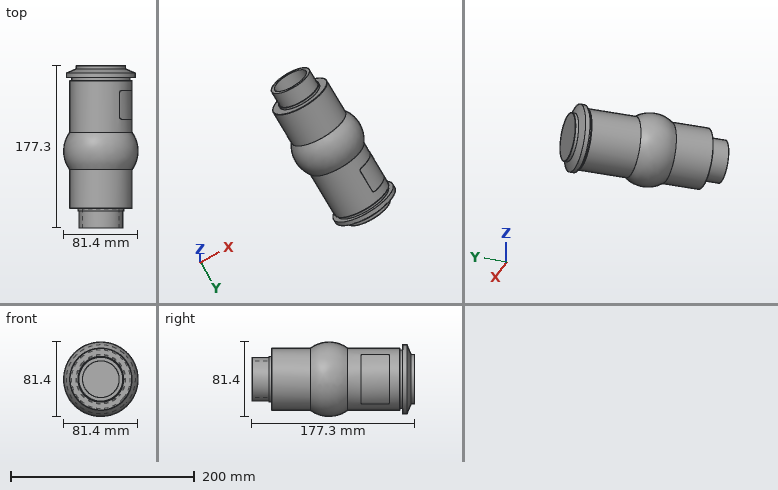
import cadquery as cq


PIPE_BORE_DIAMETER = 40.0
PIPE_DIAMETER = 47.8
COLLAR_DIAMETER = 50.0
BOSS_DIAMETER = 54.0
NECK_DIAMETER = 64.0
BODY_DIAMETER = 68.0
FLANGE_DIAMETER = 75.3
BALL_DIAMETER = 81.38

TOTAL_LENGTH = 177.3
PIPE_LENGTH = 18.7
COLLAR_LENGTH = 2.4
REAR_BODY_LENGTH = 42.5
BALL_LENGTH = 40.7
FRONT_BODY_LENGTH = 56.7
NECK_LENGTH = 3.0
FLANGE_RIM_LENGTH = 5.0
BOSS_LENGTH = 3.8
PIPE_BORE_DEPTH = 21.0

BODY_CHAMFER = 0.5
BOSS_CHAMFER = 0.5

PANEL_LENGTH = 31.3
PANEL_WIDTH = 54.4
PANEL_CORNER_RADIUS = 2.0
PANEL_HEIGHT = 0.1
PANEL_OVERLAP = 1.0
PANEL_CENTRE_FROM_BALL = 29.9

ball_start = -BALL_LENGTH / 2
ball_end = BALL_LENGTH / 2
rear_body_start = ball_start - REAR_BODY_LENGTH
collar_start = rear_body_start - COLLAR_LENGTH
pipe_start = collar_start - PIPE_LENGTH
boss_end = pipe_start + TOTAL_LENGTH
boss_start = boss_end - BOSS_LENGTH
front_body_end = ball_end + FRONT_BODY_LENGTH
neck_end = front_body_end + NECK_LENGTH
rim_end = neck_end + FLANGE_RIM_LENGTH
panel_centre = ball_end + PANEL_CENTRE_FROM_BALL


def make_turned_body():
    """Solid of revolution: pipe, collar, body, ball, neck, flange and boss."""
    pipe_radius = PIPE_DIAMETER / 2
    collar_radius = COLLAR_DIAMETER / 2
    body_radius = BODY_DIAMETER / 2
    chamfered_radius = body_radius - BODY_CHAMFER
    neck_radius = NECK_DIAMETER / 2
    flange_radius = FLANGE_DIAMETER / 2
    boss_radius = BOSS_DIAMETER / 2

    half_profile = (
        cq.Workplane("XY")
        .moveTo(0, pipe_start)
        .lineTo(pipe_radius, pipe_start)
        .lineTo(pipe_radius, collar_start)
        .lineTo(collar_radius, collar_start)
        .lineTo(collar_radius, rear_body_start)
        .lineTo(chamfered_radius, rear_body_start)
        .lineTo(body_radius, rear_body_start + BODY_CHAMFER)
        .lineTo(body_radius, ball_start)
        .threePointArc((BALL_DIAMETER / 2, 0), (body_radius, ball_end))
        .lineTo(body_radius, front_body_end - BODY_CHAMFER)
        .lineTo(chamfered_radius, front_body_end)
        .lineTo(neck_radius, front_body_end)
        .lineTo(neck_radius, neck_end)
        .lineTo(flange_radius, neck_end)
        .lineTo(flange_radius, rim_end)
        .lineTo(boss_radius, boss_start)
        .lineTo(boss_radius, boss_end - BOSS_CHAMFER)
        .lineTo(boss_radius - BOSS_CHAMFER, boss_end)
        .lineTo(0, boss_end)
        .close()
    )
    return half_profile.revolve(360, (0, 0, 0), (0, 1, 0))


def make_pipe_bore():
    """Blind round bore entering from the open pipe end."""
    pipe_face = cq.Workplane("XZ", origin=(0, pipe_start, 0))
    return pipe_face.circle(PIPE_BORE_DIAMETER / 2).extrude(-PIPE_BORE_DEPTH)


def make_panel():
    """Thin shell over the body surface, bounded by a rounded rectangle facing +X."""
    body_radius = BODY_DIAMETER / 2
    outline = (
        cq.Workplane("YZ")
        .center(panel_centre, 0)
        .rect(PANEL_LENGTH, PANEL_WIDTH)
        .extrude(body_radius + PANEL_HEIGHT)
        .edges("|X")
        .fillet(PANEL_CORNER_RADIUS)
    )
    shell = (
        cq.Workplane("XZ", origin=(0, panel_centre - PANEL_LENGTH / 2, 0))
        .circle(body_radius + PANEL_HEIGHT)
        .circle(body_radius - PANEL_OVERLAP)
        .extrude(-PANEL_LENGTH)
    )
    return outline.intersect(shell)


result = make_turned_body().cut(make_pipe_bore()).union(make_panel())